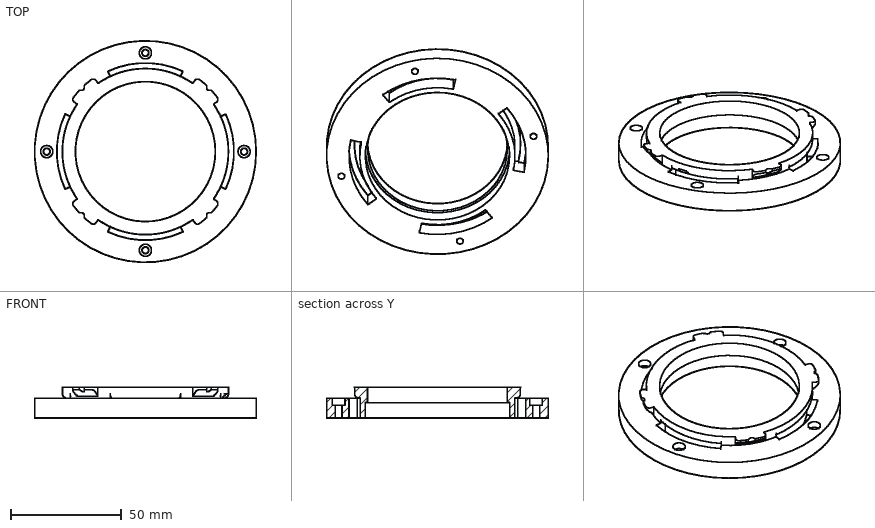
import cadquery as cq
import math

FLANGE_DIAMETER = 100.0
FLANGE_HEIGHT = 9.0
TOTAL_HEIGHT = 14.0

BORE_DIAMETER = 63.0
LOWER_BORE_DIAMETER = 65.0
LOWER_BORE_DEPTH = 7.0

COLLAR_RADIUS = 75.0 / 2

SCREW_DIAMETER = 2.9
SCREW_HEAD_DIAMETER = 5.5
SCREW_HEAD_DEPTH = 3.2
SCREW_CIRCLE_RADIUS = 44.5

SLOT_OUTER_RADIUS = 39.9
SLOT_INNER_RADIUS = 35.0
SLOT_HALF_ANGLE = 25.0
FOOT_ROUND = 2.0
SLOT_TOP = FLANGE_HEIGHT + FOOT_ROUND

LUG_RADIUS = 40.6
LUG_HALF_ANGLE = 10.2
LUG_CORNER_ROUND = 1.5
LUG_RIM_HEIGHT = 1.1
NOTCH_HALF_WIDTH = 1.6
NOTCH_ROUND = 1.2

QUARTER_TURNS = range(0, 360, 90)
LUG_ANGLES = range(45, 360, 90)


def cylinder(radius, bottom, top):
    return cq.Workplane("XY").workplane(offset=bottom).circle(radius).extrude(top - bottom)


def spun(solid, angle):
    return solid.rotate((0, 0, 0), (0, 0, 1), angle)


def make_slot():
    """Slot centred on +X: a section that rounds the collar foot, swept about Z."""
    section = (
        cq.Workplane("XZ")
        .moveTo(SLOT_INNER_RADIUS, 0)
        .lineTo(SLOT_OUTER_RADIUS, 0)
        .lineTo(SLOT_OUTER_RADIUS, SLOT_TOP)
        .lineTo(COLLAR_RADIUS, SLOT_TOP)
        .radiusArc((COLLAR_RADIUS - FOOT_ROUND, FLANGE_HEIGHT), FOOT_ROUND)
        .lineTo(SLOT_INNER_RADIUS, FLANGE_HEIGHT)
        .close()
    )
    slot = section.revolve(2 * SLOT_HALF_ANGLE, (0, 0, 0), (0, 1, 0))
    return spun(slot, -SLOT_HALF_ANGLE)


def make_lug():
    """Lug centred on +X, with radial sides, a notched rim and a 45 degree underside."""
    rim_bottom = TOTAL_HEIGHT - LUG_RIM_HEIGHT
    root_height = rim_bottom - (LUG_RADIUS - COLLAR_RADIUS)
    half_angle = math.radians(LUG_HALF_ANGLE)
    tip_x = LUG_RADIUS * math.cos(half_angle)
    tip_y = LUG_RADIUS * math.sin(half_angle)
    lug = (
        cq.Workplane("XY")
        .workplane(offset=root_height)
        .moveTo(0, 0)
        .lineTo(tip_x, -tip_y)
        .threePointArc((LUG_RADIUS, 0), (tip_x, tip_y))
        .close()
        .extrude(TOTAL_HEIGHT - root_height)
        .edges("|Z").edges(">X")
        .fillet(LUG_CORNER_ROUND)
    )
    notch_tip = LUG_RADIUS - NOTCH_HALF_WIDTH
    notch_reach = 2 * NOTCH_HALF_WIDTH
    notch = (
        cq.Workplane("XY")
        .moveTo(notch_tip, 0)
        .lineTo(notch_tip + notch_reach, -notch_reach)
        .lineTo(notch_tip + notch_reach, notch_reach)
        .close()
        .extrude(TOTAL_HEIGHT)
        .edges("|Z").edges("<X")
        .fillet(NOTCH_ROUND)
    )
    envelope = (
        cq.Workplane("XZ")
        .moveTo(0, root_height)
        .lineTo(COLLAR_RADIUS, root_height)
        .lineTo(LUG_RADIUS, rim_bottom)
        .lineTo(LUG_RADIUS, TOTAL_HEIGHT)
        .lineTo(0, TOTAL_HEIGHT)
        .close()
        .revolve(360, (0, 0, 0), (0, 1, 0))
    )
    return lug.cut(notch).intersect(envelope)


def make_screw_hole():
    """Through hole on +X, counterbored from the flange face."""
    hole = cylinder(SCREW_DIAMETER / 2, 0, FLANGE_HEIGHT)
    head = cylinder(SCREW_HEAD_DIAMETER / 2, FLANGE_HEIGHT - SCREW_HEAD_DEPTH, FLANGE_HEIGHT)
    return hole.union(head).translate((SCREW_CIRCLE_RADIUS, 0, 0))


body = cylinder(FLANGE_DIAMETER / 2, 0, FLANGE_HEIGHT)
body = body.union(cylinder(COLLAR_RADIUS, FLANGE_HEIGHT, TOTAL_HEIGHT))

lug = make_lug()
for angle in LUG_ANGLES:
    body = body.union(spun(lug, angle))

body = body.cut(cylinder(BORE_DIAMETER / 2, 0, TOTAL_HEIGHT))
body = body.cut(cylinder(LOWER_BORE_DIAMETER / 2, 0, LOWER_BORE_DEPTH))

slot = make_slot()
screw_hole = make_screw_hole()
for angle in QUARTER_TURNS:
    body = body.cut(spun(slot, angle))
    body = body.cut(spun(screw_hole, angle))

result = body